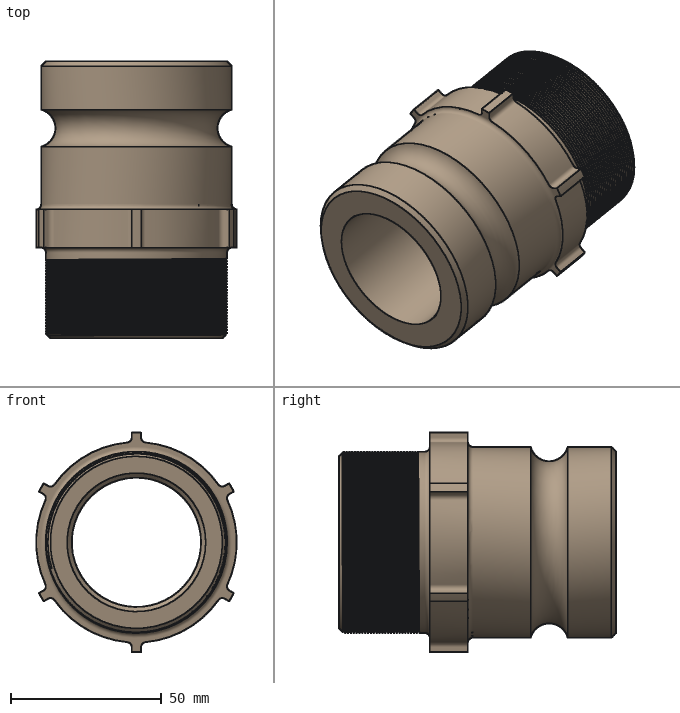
import cadquery as cq
import math

total_length = 92.075
edge_size = 1.5875

bore_radius = 42.8625 / 2
neck_radius = 60.325 / 2
body_radius = 63.5 / 2
collar_radius = 66.675 / 2

collar_length = 12.7
collar_front = 30.1625
collar_back = collar_front + collar_length
lug_count = 6
lug_width = 3.175
lug_tip_radius = 73.025 / 2
lug_spacing = 360 / lug_count

groove_radius = 6.35
groove_centre_radius = body_radius + edge_size
groove_setback = 22.225
groove_centre_y = total_length - groove_setback

thread_pitch = 0.9525
thread_depth = 0.75
thread_half_angle = math.radians(30)
thread_stop = 26.6
thread_overcut = 0.04
thread_turns = math.ceil(thread_stop / thread_pitch)


def make_core():
    """Turned body: neck, collar, cam-end body, end chamfers and collar fillets."""
    diagonal = edge_size * (1 - math.sqrt(0.5))
    front_fillet_mid = (neck_radius + diagonal, collar_front - diagonal)
    back_fillet_mid = (body_radius + diagonal, collar_back + diagonal)
    profile = (
        cq.Workplane("XY")
        .moveTo(bore_radius + edge_size, 0)
        .lineTo(neck_radius - edge_size, 0)
        .lineTo(neck_radius, edge_size)
        .lineTo(neck_radius, collar_front - edge_size)
        .threePointArc(front_fillet_mid, (neck_radius + edge_size, collar_front))
        .lineTo(collar_radius, collar_front)
        .lineTo(collar_radius, collar_back)
        .threePointArc(back_fillet_mid, (body_radius, collar_back + edge_size))
        .lineTo(body_radius, total_length - edge_size)
        .lineTo(body_radius - edge_size, total_length)
        .lineTo(bore_radius, total_length)
        .lineTo(bore_radius, edge_size)
        .close()
    )
    return profile.revolve(360, (0, 0, 0), (0, 1, 0))


def make_cam_groove():
    """Torus that cuts the round cam groove."""
    section = cq.Workplane("XY").center(groove_centre_radius, groove_centre_y).circle(groove_radius)
    return section.revolve(360, (-groove_centre_radius, 0, 0), (-groove_centre_radius, 1, 0))


def make_lug_ring():
    """Collar ring with radial lugs, filleted where each lug meets the ring."""
    plane = cq.Workplane("XZ", origin=(0, collar_back, 0))
    ring = plane.circle(collar_radius).extrude(collar_length)
    tip_limit = plane.circle(lug_tip_radius).extrude(collar_length)
    bars = plane.rect(lug_width, 2 * lug_tip_radius).extrude(collar_length)
    for index in range(1, lug_count // 2):
        bars = bars.union(bars.rotate((0, 0, 0), (0, 1, 0), index * lug_spacing))
    ring = ring.union(bars.intersect(tip_limit))
    middle_y = (collar_front + collar_back) / 2
    for index in range(lug_count):
        for side in (-1, 1):
            angle = math.radians(index * lug_spacing) + side * math.asin(lug_width / 2 / collar_radius)
            root = (collar_radius * math.sin(angle), middle_y, collar_radius * math.cos(angle))
            ring = ring.edges(cq.selectors.NearestToPointSelector(root)).fillet(edge_size)
    return ring.cut(plane.circle(neck_radius - edge_size).extrude(collar_length))


def make_thread_turn():
    """One turn of the V-shaped thread cutter, ending on the -X side at thread_stop."""
    helix = cq.Wire.makeHelix(thread_pitch, thread_pitch, neck_radius)
    half_width = (thread_depth + thread_overcut) * math.tan(thread_half_angle)
    profile = (
        cq.Workplane("XZ")
        .moveTo(neck_radius - thread_depth, 0)
        .lineTo(neck_radius + thread_overcut, half_width)
        .lineTo(neck_radius + thread_overcut, -half_width)
        .close()
    )
    turn = profile.sweep(cq.Workplane(helix), isFrenet=True)
    turn = turn.rotate((0, 0, 0), (0, 0, 1), 180).rotate((0, 0, 0), (1, 0, 0), -90)
    return turn.translate((0, thread_stop - thread_pitch, 0))


def cut_thread(part):
    """Cut the thread turn by turn, from the collar towards the end face."""
    turn = make_thread_turn()
    for index in range(thread_turns):
        part = part.cut(turn.translate((0, -index * thread_pitch, 0)), clean=False)
    return part


body = make_core().cut(make_cam_groove()).union(make_lug_ring())
result = cut_thread(body)